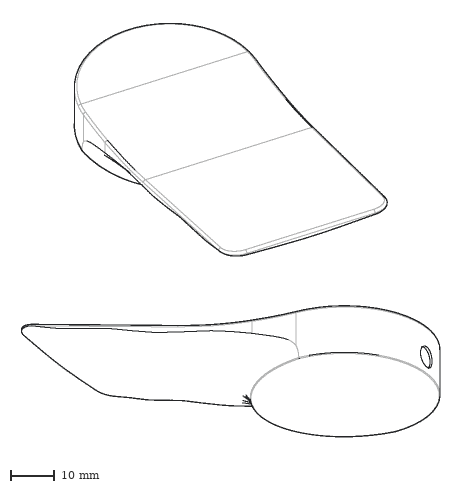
import cadquery as cq
import math

hub_radius = 22.0
length = 97.9
tip_x = length - hub_radius
hub_height = 12.4
height = 28.7
tip_half_width = 21.1
taper_start_x = 11.7
tip_corner_radius = 4.9
edge_radius = 0.6
base_edge_radius = 0.2

lever_angle = math.radians(15.0)
sharp_height = height + edge_radius * (math.tan(lever_angle) + 1 / math.cos(lever_angle) - 1)
bend_x = tip_x - (sharp_height - hub_height) / math.tan(lever_angle)
bend_tangent = 17.6

recess_diameter = 5.2
recess_height = 4.4
recess_depth = 0.7

underside_slices = [
    (-2.4, -1.5, 21.5),
    (0.0, -1.0, hub_radius),
    (2.4, -0.5, 23.2),
    (4.9, 1.3, 24.9),
    (8.4, 8.7, 29.7),
    (12.1, 19.3, 36.9),
    (15.8, 34.6, 46.9),
    (19.3, 45.7, 56.9),
    (22.5, 56.5, 65.4),
    (25.4, 66.9, 72.7),
    (27.7, 74.6, 76.9),
    (29.4, 79.3, 80.3),
]
side_overshoot = 0.15
surface_tolerance = 0.02
front_spans = 24


def make_plan():
    """Rounded hub end running into a slightly tapered, round-cornered lever."""
    plan = (
        cq.Workplane("XY")
        .moveTo(0, hub_radius)
        .threePointArc((-hub_radius, 0), (0, -hub_radius))
        .lineTo(taper_start_x, -hub_radius)
        .lineTo(tip_x, -tip_half_width)
        .lineTo(tip_x, tip_half_width)
        .lineTo(taper_start_x, hub_radius)
        .close()
        .extrude(sharp_height)
    )
    return plan.edges("|Z and >X").fillet(tip_corner_radius)


def make_side_profile():
    """Everything below the top face, across the full width."""
    bend_radius = bend_tangent / math.tan(lever_angle / 2)
    arc_start_x = bend_x - bend_tangent
    arc_middle = (
        arc_start_x + bend_radius * math.sin(lever_angle / 2),
        hub_height + bend_radius * (1 - math.cos(lever_angle / 2)),
    )
    arc_end = (
        bend_x + bend_tangent * math.cos(lever_angle),
        hub_height + bend_tangent * math.sin(lever_angle),
    )
    return (
        cq.Workplane("XZ")
        .moveTo(-hub_radius, 0)
        .lineTo(-hub_radius, hub_height)
        .lineTo(arc_start_x, hub_height)
        .threePointArc(arc_middle, arc_end)
        .lineTo(tip_x, sharp_height)
        .lineTo(tip_x, 0)
        .close()
        .extrude(hub_radius, both=True)
    )


def half_width_at(x):
    """Half width of the tapered plan at x."""
    slope = (hub_radius - tip_half_width) / (tip_x - taper_start_x)
    return hub_radius - slope * max(0, x - taper_start_x)


def slice_points(z, side_x, centre_x):
    """Points along an elliptical front that overshoots the side walls a little."""
    half_width = half_width_at(side_x)
    reach = half_width + side_overshoot
    wall_cosine = math.sqrt(1 - (half_width / reach) ** 2)
    points = []
    for i in range(front_spans + 1):
        angle = math.pi * (i / front_spans - 0.5)
        bulge = (math.cos(angle) - wall_cosine) / (1 - wall_cosine)
        x = side_x + (centre_x - side_x) * bulge
        points.append(cq.Vector(x, reach * math.sin(angle), z))
    return points


def make_underside():
    """Smooth surface that blends the round base into the lever."""
    grid = [slice_points(*section) for section in underside_slices]
    return cq.Face.makeSplineApprox(grid, tol=surface_tolerance, minDeg=3, maxDeg=6)


def make_recess():
    """Shallow flat-bottomed recess in the round end."""
    return (
        cq.Workplane("YZ", origin=(-hub_radius, 0, recess_height))
        .circle(recess_diameter / 2)
        .extrude(recess_depth)
    )


def top_rim(blank):
    """Edges around the top face, leaving out the seams that cross it."""
    top_normal_limit = 0.5
    top_faces = [f for f in blank.faces().vals() if f.normalAt().z > top_normal_limit]
    edges = [e for f in top_faces for e in f.Edges()]
    return [e for e in edges if sum(e.isSame(other) for other in edges) == 1]


blank = make_plan().intersect(make_side_profile())
blank = blank.newObject(top_rim(blank)).fillet(edge_radius)

pieces = blank.val().split(make_underside()).Solids()
lever = cq.Workplane(min(pieces, key=lambda piece: piece.BoundingBox().xmin))
lever = lever.faces("<Z").edges().fillet(base_edge_radius)
result = lever.cut(make_recess())